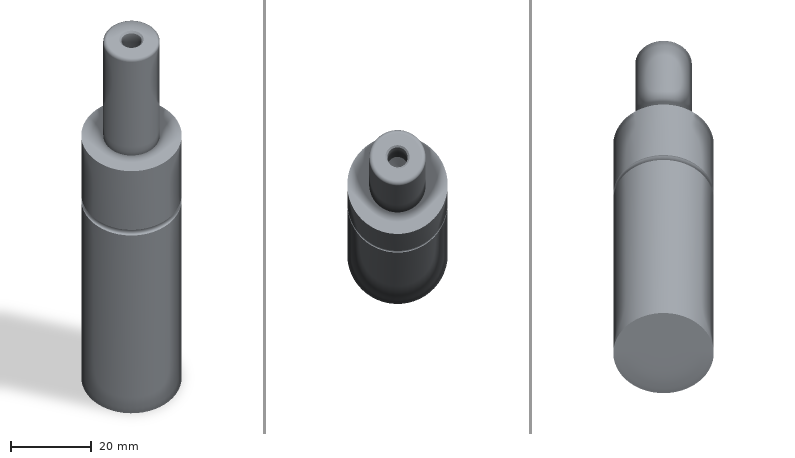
import cadquery as cq
import math

total_length = 120.0
body_diameter = 25.0
body_length = 85.9
rod_diameter = 14.0
rod_fillet = 1.0

groove_center_height = 64.1
groove_radius = 1.0

bore_diameter = 5.0
bore_depth = 12.0
bore_chamfer = 0.5
drill_tip_angle = 118.0

body_radius = body_diameter / 2
rod_radius = rod_diameter / 2


def make_body_and_rod():
    """Body standing on the XY plane with a slimmer rod rising from it."""
    body = cq.Workplane("XY").circle(body_radius).extrude(body_length)
    rod = cq.Workplane("XY").circle(rod_radius).extrude(total_length)
    rod = rod.faces(">Z").edges().fillet(rod_fillet)
    return body.union(rod)


def make_groove():
    """Ring with a round section, centred on the body surface, that cuts a half-round groove."""
    ring = cq.Solid.makeTorus(
        body_radius, groove_radius, cq.Vector(0, 0, groove_center_height), cq.Vector(0, 0, 1)
    )
    return cq.Workplane("XY").add(ring)


def make_bore():
    """Blind bore with a conical drill tip, widened by a countersink at the rod end."""
    bore_radius = bore_diameter / 2
    bore_bottom = total_length - bore_depth
    tip_depth = bore_radius / math.tan(math.radians(drill_tip_angle / 2))
    return (
        cq.Workplane("XZ")
        .moveTo(0, bore_bottom - tip_depth)
        .lineTo(bore_radius, bore_bottom)
        .lineTo(bore_radius, total_length - bore_chamfer)
        .lineTo(bore_radius + bore_chamfer, total_length)
        .lineTo(0, total_length)
        .close()
        .revolve(360, (0, 0, 0), (0, 1, 0))
    )


result = make_body_and_rod().cut(make_groove()).cut(make_bore())